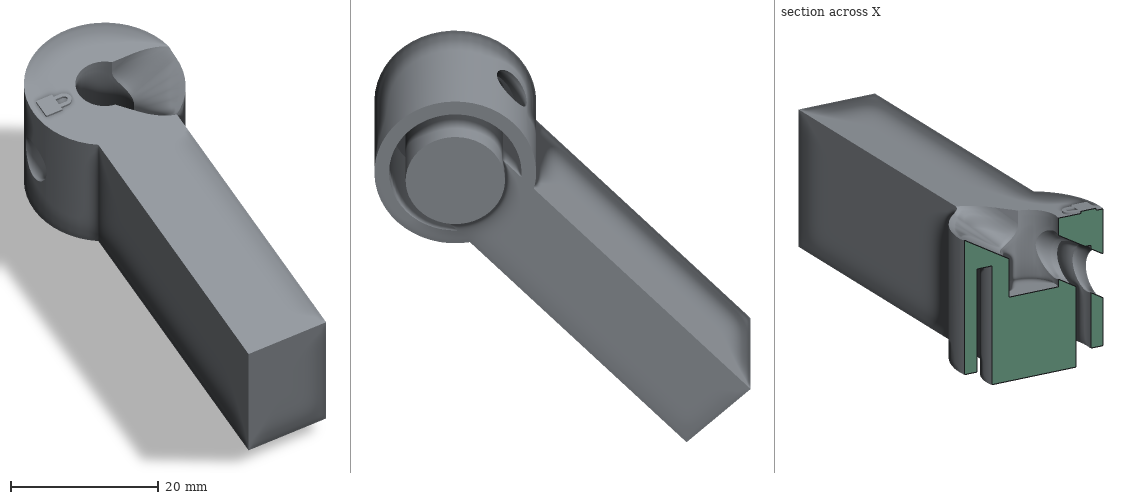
import cadquery as cq
import math

HUB_RADIUS = 11.0
HEIGHT = 20.0
ARM_WIDTH = 12.0
ARM_END_X = 52.0

POST_RADIUS = 6.75
POST_PROTRUSION = 2.3
POCKET_RADIUS = 9.0
POCKET_DEPTH = 15.0

BORE_RADIUS = 4.0
BORE_DEPTH = 10.0

PASSAGE_RADIUS = 2.95
PASSAGE_TILT = 30.0
PASSAGE_AXIS_Z = 16.5
FAN_START_ANGLE = 90.0
FAN_END_ANGLE = 40.0
CUT_LENGTH = 18.0

LOCK_RELIEF = 0.3
LOCK_BODY_WIDTH = 3.0
LOCK_BODY_HEIGHT = 2.5
LOCK_BODY_TOP_Y = -7.35
SHACKLE_CENTER_Y = -6.3
SHACKLE_OUTER_RADIUS = 1.05
SHACKLE_INNER_RADIUS = 0.5


def cylinder(radius, bottom_z, height):
    return cq.Workplane("XY").workplane(offset=bottom_z).circle(radius).extrude(height)


def make_body():
    hub = cylinder(HUB_RADIUS, 0, HEIGHT)
    arm = cq.Workplane("XY").box(ARM_END_X, ARM_WIDTH, HEIGHT, centered=(False, True, False))
    pocket = cylinder(POCKET_RADIUS, 0, POCKET_DEPTH)
    post = cylinder(POST_RADIUS, -POST_PROTRUSION, POST_PROTRUSION + POCKET_DEPTH)
    bore = cylinder(BORE_RADIUS, HEIGHT - BORE_DEPTH, BORE_DEPTH)
    return hub.cut(pocket).union(arm).union(post).cut(bore)


def passage_plane(heading):
    """Plane across the passage at the hub axis, its normal running outward and up."""
    turn = math.radians(heading)
    tilt = math.radians(PASSAGE_TILT)
    normal = (
        math.cos(tilt) * math.cos(turn),
        math.cos(tilt) * math.sin(turn),
        math.sin(tilt),
    )
    sideways = (-math.sin(turn), math.cos(turn), 0)
    return cq.Plane(origin=(0, 0, PASSAGE_AXIS_Z), xDir=sideways, normal=normal)


def make_front_hole():
    return cq.Workplane(passage_plane(FAN_START_ANGLE)).circle(PASSAGE_RADIUS).extrude(-CUT_LENGTH)


def make_open_groove(heading):
    """Round-bottomed groove with upright walls, open through the top face."""
    wall_height = HEIGHT - PASSAGE_AXIS_Z + PASSAGE_RADIUS
    return (
        cq.Workplane(passage_plane(heading))
        .moveTo(-PASSAGE_RADIUS, 0)
        .threePointArc((0, -PASSAGE_RADIUS), (PASSAGE_RADIUS, 0))
        .lineTo(PASSAGE_RADIUS, wall_height)
        .lineTo(-PASSAGE_RADIUS, wall_height)
        .close()
        .extrude(CUT_LENGTH)
    )


def make_fan():
    """Conical sweep of the groove floor between the two end headings."""
    tilt = math.radians(PASSAGE_TILT)
    floor_center_z = PASSAGE_AXIS_Z - PASSAGE_RADIUS / math.cos(tilt)
    floor_end_radius = (HEIGHT - floor_center_z) / math.tan(tilt)
    wedge = (
        cq.Workplane("XZ")
        .moveTo(0, floor_center_z)
        .lineTo(floor_end_radius, HEIGHT)
        .lineTo(0, HEIGHT)
        .close()
        .revolve(FAN_START_ANGLE - FAN_END_ANGLE, (0, 0, 0), (0, 1, 0))
    )
    return wedge.rotate((0, 0, 0), (0, 0, 1), FAN_END_ANGLE)


def make_padlock():
    body_center_y = LOCK_BODY_TOP_Y - LOCK_BODY_HEIGHT / 2
    body = (
        cq.Workplane("XY")
        .workplane(offset=HEIGHT)
        .center(0, body_center_y)
        .rect(LOCK_BODY_WIDTH, LOCK_BODY_HEIGHT)
        .extrude(LOCK_RELIEF)
    )

    def arch(radius):
        return (
            cq.Workplane("XY")
            .workplane(offset=HEIGHT)
            .moveTo(-radius, LOCK_BODY_TOP_Y)
            .lineTo(-radius, SHACKLE_CENTER_Y)
            .threePointArc((0, SHACKLE_CENTER_Y + radius), (radius, SHACKLE_CENTER_Y))
            .lineTo(radius, LOCK_BODY_TOP_Y)
            .close()
            .extrude(LOCK_RELIEF)
        )

    shackle = arch(SHACKLE_OUTER_RADIUS).cut(arch(SHACKLE_INNER_RADIUS))
    return body.union(shackle)


result = make_body().cut(make_front_hole())
for groove_heading in (FAN_START_ANGLE, FAN_END_ANGLE):
    result = result.cut(make_open_groove(groove_heading))
result = result.cut(make_fan()).union(make_padlock())